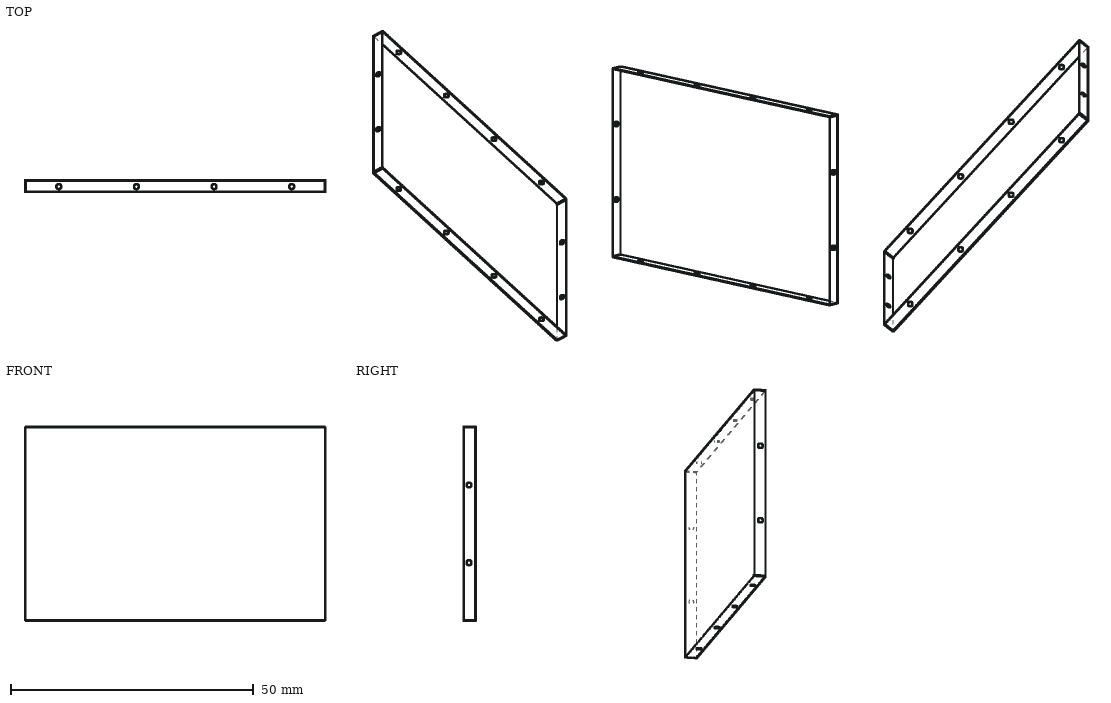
import cadquery as cq

length = 62.04
depth = 2.5
height = 40.1

sheet = 0.2
bend_radius = sheet

corner_clearance = 0.005
corner_relief = sheet + corner_clearance

hole_diameter = 1.0
hole_pitch = 16.0
holes_per_long_flange = 4
holes_per_end_flange = 2
hole_from_open_edge = 1.1
hole_y = hole_from_open_edge - depth / 2


def folded_channel(width, run):
    """U-section along Z: floor across X on the +Y side, two flanges toward -Y."""
    outside = (
        cq.Workplane("XY")
        .box(width, depth, run)
        .edges("|Z and >Y")
        .fillet(bend_radius)
    )
    inside = (
        cq.Workplane("XY")
        .box(width - 2 * sheet, depth, run)
        .translate((0, -sheet, 0))
    )
    return outside.cut(inside)


def hole_row(count, through_length):
    """Row of cylinders along Z, spaced by the pitch along X."""
    return (
        cq.Workplane("XY")
        .center(0, hole_y)
        .rarray(hole_pitch, 1, count, 1)
        .circle(hole_diameter / 2)
        .extrude(through_length / 2, both=True)
    )


def turn_to_x(body):
    """Swap the X and Z directions by a quarter turn about Y."""
    return body.rotate((0, 0, 0), (0, 1, 0), 90)


end_channel = folded_channel(length, height - 2 * corner_relief)
long_channel = turn_to_x(folded_channel(height, length - 2 * corner_relief))
tray = end_channel.union(long_channel)

long_flange_holes = hole_row(holes_per_long_flange, height)
end_flange_holes = turn_to_x(hole_row(holes_per_end_flange, length))

result = tray.cut(long_flange_holes).cut(end_flange_holes)